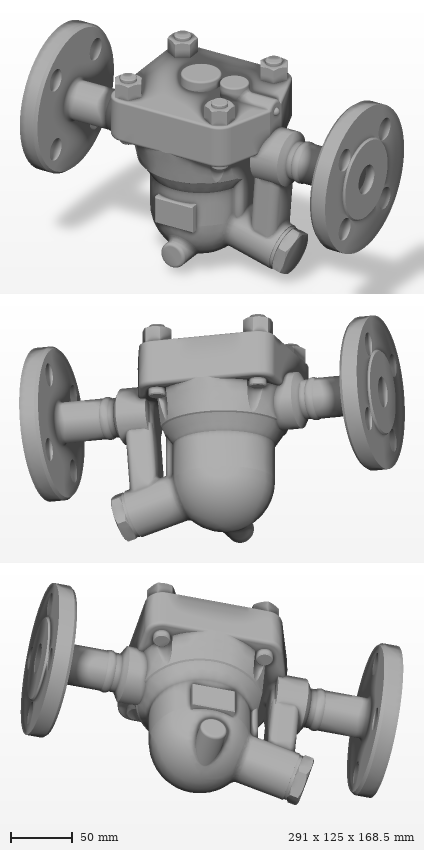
import cadquery as cq
import math

overall_length = 291.0
bowl_x = -10.2

hex_half_angle = math.radians(30)

hex_cone_angle = math.radians(30)

margin = 0.3

flange_d = 125.0
flange_back_x = 128.3
flange_front_x = 143.8
flange_chamfer_x = 2.5
flange_chamfer_r = 2.0
raised_face_base_d = 69.8
raised_face_d = 67.0
pipe_d = 33.2
pipe_fillet = 2.5
bead_start_x = 83.8
bead_end_x = 90.8
bead_d = 35.0
neck_d = 32.0
port_d = 46.0
port_end_x = 74.8
port_cone_end_x = 79.2
outlet_start_x = 49.5
bore_d = 25.0
bore_depth = 8.0
bolt_hole_d = 19.0
bolt_hole_spacing = 63.1

plate_bottom_z = 7.0
plate_top_z = 44.2
plate_half_width = 57.5
plate_left_x = -67.2
plate_shoulder_x = 43.0
nose_x = 60.2
nose_half_width = 9.0
plate_corner_r = 14.5
plate_top_fillet = 2.0
plate_bottom_fillet = 3.2

stud_spacing = 85.8
stud_d = 14.0
stud_bottom_z = 1.2
stud_top_z = 60.5
stud_chamfer = 1.0
nut_across_flats = 21.5
nut_top_z = 57.3
nut_turn = 30.0
stud_clearance_d = 17.5

vent_x = 21.2
vent_d = 24.0
vent_top_z = 56.2
vent_edge_r = 1.5
vent_fillet = 3.5
arm_d = 19.8
arm_z = 39.3
arm_end_r = 2.5
tip_r = 3.5
tip_length = 3.0

disc_d = 33.2
disc_bottom_z = 47.0
disc_edge_r = 1.7

bowl_d = 83.0
bowl_r = bowl_d / 2
dome_z = -62.3
cone_bottom_z = -32.3
wall_bottom_z = -18.3
wall_bottom_r = 51.8
rim_r = 50.3
rim_height = 1.0
wall_top_r = 58.0
wall_top_z = 10.2
wall_flat_x = 35.8
rib_half_width = 14.5
rib_edge_r = 5.2
rib_fillet = 2.0

pad_left_x = -27.5
pad_right_x = 8.1
pad_bottom_z = -65.8
pad_top_z = -42.2
pad_face_y = -44.5
pad_chamfer = 1.0

drain_d = 22.0
drain_z = -90.8
drain_face_y = -46.3
drain_edge_r = 2.5
drain_fillet = 3.5

strainer_tilt = 15.0
strainer_d = 40.0
strainer_length = 79.5
strainer_fillet = 5.5
collar_d = 38.0
hex_start = 82.0
hex_end = 92.0
hex_across_corners = 42.0

riser_top_x = 59.0
riser_top_z = -11.5
riser_tilt = 4.3
riser_width = 23.0
riser_depth = 32.0
riser_edge_r = 6.5
riser_length = 64.0
riser_foot_z = -71.3
riser_fillet = 2.5

post_left_x = 47.0
post_right_x = 53.8
post_depth = 26.2
post_bottom_z = -25.5
post_top_z = 27.0
post_fillet = 3.5


def cylinder_z(x, y, diameter, bottom, top):
    """Upright cylinder between two heights."""
    return cq.Workplane("XY", origin=(x, y, bottom)).circle(diameter / 2).extrude(top - bottom)


def chamfered_hex(plane, across_corners, height, both_ends=False):
    """Hexagonal prism turned down at its outer end, or at both, to a 30 degree cone."""
    outer_r = across_corners / 2
    flat_r = outer_r * math.cos(hex_half_angle)
    drop = (outer_r - flat_r) * math.tan(hex_cone_angle)
    prism = cq.Workplane(plane).polygon(6, across_corners).extrude(height)
    turned = cq.Workplane(plane).circle(outer_r).extrude(height)
    ends = [-1, 0] if both_ends else [-1]
    for end in ends:
        end_face = turned.faces(cq.selectors.DirectionNthSelector(plane.zDir, end))
        turned = end_face.chamfer(drop, outer_r - flat_r)
    return prism.intersect(turned)


def pipe_end():
    """Outlet end: port, neck, weld bead, pipe and drilled flange, along +X."""
    profile = (
        cq.Workplane("XY")
        .moveTo(outlet_start_x, 0)
        .lineTo(outlet_start_x, port_d / 2)
        .lineTo(port_end_x, port_d / 2)
        .lineTo(port_cone_end_x, neck_d / 2)
        .lineTo(bead_start_x, neck_d / 2)
        .threePointArc(((bead_start_x + bead_end_x) / 2, bead_d / 2), (bead_end_x, pipe_d / 2))
        .lineTo(flange_back_x - pipe_fillet, pipe_d / 2)
        .radiusArc((flange_back_x, pipe_d / 2 + pipe_fillet), -pipe_fillet)
        .lineTo(flange_back_x, flange_d / 2 - flange_chamfer_r)
        .lineTo(flange_back_x + flange_chamfer_x, flange_d / 2)
        .lineTo(flange_front_x, flange_d / 2)
        .lineTo(flange_front_x, raised_face_base_d / 2)
        .lineTo(overall_length / 2, raised_face_d / 2)
        .lineTo(overall_length / 2, 0)
        .close()
    )
    turned = profile.revolve(360, (0, 0, 0), (1, 0, 0))
    bore = (
        cq.Workplane("YZ", origin=(overall_length / 2 - bore_depth, 0, 0))
        .circle(bore_d / 2)
        .extrude(bore_depth)
    )
    bolt_holes = (
        cq.Workplane("YZ", origin=(flange_back_x, 0, 0))
        .rect(bolt_hole_spacing, bolt_hole_spacing, forConstruction=True)
        .vertices()
        .circle(bolt_hole_d / 2)
        .extrude(flange_front_x - flange_back_x)
    )
    return turned.cut(bore).cut(bolt_holes)


def inlet_port_root():
    """Inlet port continued inward until it is buried in the bowl wall."""
    return (
        cq.Workplane("YZ", origin=(-outlet_start_x, 0, 0))
        .circle(port_d / 2)
        .extrude(outlet_start_x + bowl_x)
    )


def plate_block(bottom, top):
    """Plate outline as a prism: square with rounded corners and a tapered nose over the outlet."""
    outline = [
        (plate_left_x, -plate_half_width),
        (plate_shoulder_x, -plate_half_width),
        (nose_x, -nose_half_width),
        (nose_x, nose_half_width),
        (plate_shoulder_x, plate_half_width),
        (plate_left_x, plate_half_width),
    ]
    block = (
        cq.Workplane("XY", origin=(0, 0, bottom))
        .polyline(outline)
        .close()
        .extrude(top - bottom)
    )
    return block.edges("|Z and (>Y or <Y or <X)").fillet(plate_corner_r)


def plate():
    """Cover and body plate with softened top and bottom edges."""
    block = plate_block(plate_bottom_z, plate_top_z)
    softened = block.faces(">Z").edges().fillet(plate_top_fillet)
    return softened.faces("<Z").edges().fillet(plate_bottom_fillet)


def bowl_wall():
    """Flared upper bowl wall inside the plate outline, flat by the outlet and relieved at each stud."""
    flare = (
        cq.Workplane("XZ", origin=(bowl_x, 0, 0))
        .moveTo(0, cone_bottom_z)
        .lineTo(bowl_r, cone_bottom_z)
        .lineTo(rim_r, wall_bottom_z - rim_height)
        .lineTo(wall_bottom_r, wall_bottom_z)
        .lineTo(wall_top_r, wall_top_z)
        .lineTo(0, wall_top_z)
        .close()
        .revolve(360, (0, 0, 0), (0, 1, 0))
    )
    outlet_gap = cq.Workplane("XY").box(
        wall_top_r, 2 * wall_top_r, plate_bottom_z - cone_bottom_z, centered=(False, True, False)
    ).translate((wall_flat_x, 0, cone_bottom_z))
    wall = flare.intersect(plate_block(cone_bottom_z, plate_top_z)).cut(outlet_gap)
    for x, y in stud_places():
        wall = wall.cut(cylinder_z(x, y, stud_clearance_d, cone_bottom_z, plate_bottom_z))
    return wall


def dome():
    """Lower bowl: a cylinder closed by a hemisphere."""
    return (
        cq.Workplane("XZ", origin=(bowl_x, 0, 0))
        .moveTo(0, cone_bottom_z)
        .lineTo(bowl_r, cone_bottom_z)
        .lineTo(bowl_r, dome_z)
        .radiusArc((0, dome_z - bowl_r), bowl_r)
        .close()
        .revolve(360, (0, 0, 0), (0, 1, 0))
    )


def strainer_plane(distance):
    """Plane across the strainer axis at a distance from the dome centre."""
    angle = math.radians(strainer_tilt)
    axis = (math.cos(angle), 0, -math.sin(angle))
    origin = (bowl_x + distance * axis[0], 0, dome_z + distance * axis[2])
    return cq.Plane(origin=origin, xDir=(-math.sin(angle), 0, -math.cos(angle)), normal=axis)


def strainer_boss():
    """Tilted cylinder starting at the dome centre."""
    return cq.Workplane(strainer_plane(0)).circle(strainer_d / 2).extrude(strainer_length)


def strainer_plug():
    """Collar and hexagon head closing the strainer boss."""
    collar = (
        cq.Workplane(strainer_plane(strainer_length))
        .circle(collar_d / 2)
        .extrude(hex_start - strainer_length)
    )
    head = chamfered_hex(strainer_plane(hex_start), hex_across_corners, hex_end - hex_start, both_ends=True)
    return collar.union(head)


def riser():
    """Rounded rectangular column leaning slightly toward the bowl as it goes down."""
    angle = math.radians(riser_tilt)
    plane = cq.Plane(
        origin=(riser_top_x, 0, riser_top_z),
        xDir=(math.cos(angle), 0, -math.sin(angle)),
        normal=(-math.sin(angle), 0, -math.cos(angle)),
    )
    column = cq.Workplane(plane).rect(riser_width, riser_depth).extrude(riser_length)
    return column.edges(cq.selectors.ParallelDirSelector(plane.zDir)).fillet(riser_edge_r)


def flat_rib():
    """Rib down the outlet side of the bowl, level with the flat on the wall above it."""
    length = wall_flat_x - bowl_x
    return (
        cq.Workplane("XY")
        .box(length, 2 * rib_half_width, wall_bottom_z - dome_z, centered=(False, True, False))
        .translate((bowl_x, 0, dome_z))
        .edges("|Z and >X")
        .fillet(rib_edge_r)
    )


def drain_boss():
    """Round boss pointing to -Y from the lower part of the dome."""
    return (
        cq.Workplane("XZ", origin=(bowl_x, 0, drain_z))
        .circle(drain_d / 2)
        .extrude(-drain_face_y)
        .faces("<Y")
        .fillet(drain_edge_r)
    )


def name_pad():
    """Flat rectangular pad on the -Y side of the bowl."""
    return (
        cq.Workplane("XY")
        .box(pad_right_x - pad_left_x, -pad_face_y, pad_top_z - pad_bottom_z, centered=False)
        .translate((pad_left_x, pad_face_y, pad_bottom_z))
        .faces("<Y")
        .chamfer(pad_chamfer)
    )


def stud_places():
    """Centres of the four studs, going round the bowl axis."""
    corners = [(-1, -1), (1, -1), (1, 1), (-1, 1)]
    return [(bowl_x + i * stud_spacing / 2, j * stud_spacing / 2) for i, j in corners]


def stud_with_nut(x, y, turn):
    """Stud through the plate with a nut on top; turn is the nut's rotation in degrees."""
    stud = cylinder_z(x, y, stud_d, stud_bottom_z, stud_top_z).faces("<Z or >Z").chamfer(stud_chamfer)
    turn_angle = math.radians(turn)
    plane = cq.Plane(
        origin=(x, y, plate_top_z),
        xDir=(math.cos(turn_angle), math.sin(turn_angle), 0),
        normal=(0, 0, 1),
    )
    across_corners = nut_across_flats / math.cos(hex_half_angle)
    nut = chamfered_hex(plane, across_corners, nut_top_z - plate_top_z)
    return stud.union(nut)


def vent():
    """Round vent boss with a passage running out to the nose and ending in a small domed tip."""
    boss = cylinder_z(vent_x, 0, vent_d, arm_z, vent_top_z).faces(">Z").edges().fillet(vent_edge_r)
    arm = cq.Workplane("YZ", origin=(vent_x, 0, arm_z)).circle(arm_d / 2).extrude(nose_x - vent_x)
    arm = arm.faces(">X").edges().fillet(arm_end_r)
    tip = (
        cq.Workplane("XY", origin=(nose_x, 0, arm_z))
        .moveTo(-tip_length, 0)
        .lineTo(-tip_length, tip_r)
        .lineTo(0, tip_r)
        .threePointArc((tip_length * math.sqrt(3) / 2, tip_r / 2), (tip_length, 0))
        .close()
        .revolve(360, (0, 0, 0), (1, 0, 0))
    )
    return boss.union(arm).union(tip)


def dome_with_drain():
    """Dome and drain boss, blended where they meet."""
    return dome().union(drain_boss()).edges("%BSPLINE").fillet(drain_fillet)


def strainer_with_riser():
    """Strainer boss and riser, blended where they meet."""
    joined = strainer_boss().union(riser())
    meeting_line = cq.selectors.BoxSelector(
        (bowl_x + bowl_r, -riser_depth, riser_foot_z),
        (bowl_x + strainer_length, riser_depth, dome_z + strainer_d / 2),
        boundingbox=True,
    )
    return joined.edges(meeting_line).fillet(riser_fillet)


def bowl():
    """Dome, wall, rib, name pad and plug, with the strainer boss blended into the dome."""
    joined = dome_with_drain().union(strainer_with_riser())
    meeting_line = cq.selectors.BoxSelector(
        (bowl_x + bowl_r / 2, -strainer_d, dome_z - bowl_r),
        (bowl_x + bowl_r + strainer_fillet, strainer_d, cone_bottom_z),
        boundingbox=True,
    )
    blended = joined.edges(meeting_line).edges("%BSPLINE").fillet(strainer_fillet)
    ribbed = blended.union(flat_rib())
    rib_foot = cq.selectors.BoxSelector(
        (bowl_x + strainer_d / 2, -rib_half_width - margin, dome_z - margin),
        (wall_flat_x + margin, rib_half_width + margin, dome_z + strainer_d / 2),
        boundingbox=True,
    )
    ribbed = ribbed.edges(rib_foot).fillet(rib_fillet)
    return ribbed.union(bowl_wall()).union(name_pad()).union(strainer_plug())


def plate_with_post():
    """Plate and the post hanging under its nose, blended into its underside."""
    post = (
        cq.Workplane("XY")
        .box(post_right_x - post_left_x, post_depth, post_top_z - post_bottom_z, centered=(False, True, False))
        .translate((post_left_x, 0, post_bottom_z))
        .edges("|Z and <X")
        .fillet(riser_edge_r)
    )
    joined = plate().union(post)
    meeting_line = cq.selectors.BoxSelector(
        (post_left_x - margin, -post_depth, plate_bottom_z - margin),
        (post_right_x + margin, post_depth, plate_bottom_z + margin),
        boundingbox=True,
    )
    return joined.edges(meeting_line).edges("not(>X)").fillet(post_fillet)


def plate_with_vent():
    """Plate and vent, with the passage blended into the vent boss."""
    joined = plate_with_post().union(vent())
    meeting_line = cq.selectors.BoxSelector(
        (vent_x, -arm_d, plate_top_z - margin),
        (vent_x + vent_d, arm_d, vent_top_z - vent_edge_r - margin),
        boundingbox=True,
    )
    return joined.edges(meeting_line).edges("%BSPLINE").fillet(vent_fillet)


def trap_body():
    """Complete trap with its pipe ends, plate, studs and nuts."""
    outlet_end = pipe_end()
    inlet_end = outlet_end.mirror("YZ")
    body = bowl().union(outlet_end).union(inlet_end).union(inlet_port_root()).union(plate_with_vent())
    for index, (x, y) in enumerate(stud_places()):
        body = body.union(stud_with_nut(x, y, nut_turn * (index % 2)))
    return body


def floating_disc():
    """Round disc held clear above the plate on the bowl axis."""
    return cylinder_z(bowl_x, 0, disc_d, disc_bottom_z, vent_top_z).faces(">Z").edges().fillet(disc_edge_r)


body = trap_body()
disc = floating_disc()
result = cq.Compound.makeCompound([*body.vals(), disc.val()])